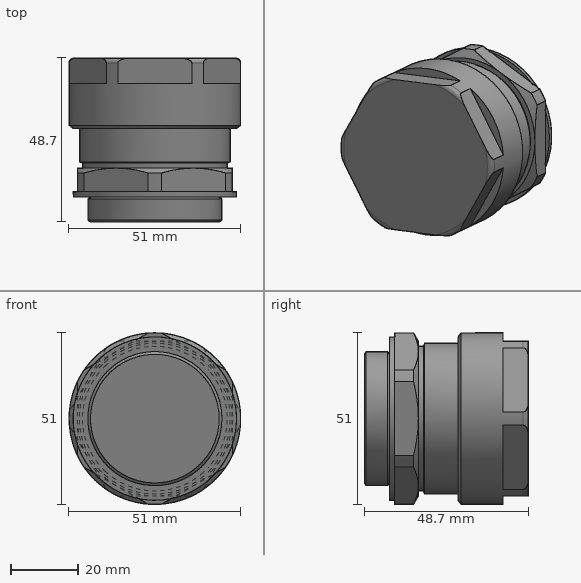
import cadquery as cq
import math

overall_diameter = 51.0
overall_length = 48.7
outer_radius = overall_diameter / 2
across_flats = 46.0

spigot_radius = 39.85 / 2
washer_radius = 48.5 / 2
groove_radius = 43.0 / 2
body_radius = 44.85 / 2

washer_start = 7.45
nut_start = 9.05
nut_end = 16.0
body_start = 17.5
cap_start = 27.8
cap_hex_length = 7.5
cap_hex_start = overall_length - cap_hex_length

spigot_chamfer_length = 0.55
spigot_chamfer_depth = 0.8
body_chamfer_length = 0.4
cap_chamfer_length = 0.95
cap_chamfer_depth = 1.2
cap_round_radius = 1.55
nut_cone_length = 1.45
nut_cone_tip_radius = across_flats / 2


def revolve_profile(profile):
    """Turn a closed (radius, axial position) profile about the Y axis."""
    return profile.close().revolve(360, (0, 0, 0), (0, 1, 0))


def hex_prism(start, end, first_corner_angle):
    """Hexagon along +Y, with its first corner at an angle from +X toward +Z."""
    corner_radius = across_flats / math.sqrt(3)
    corners = []
    for i in range(6):
        angle = math.radians(first_corner_angle + 60 * i)
        corners.append((corner_radius * math.cos(angle), corner_radius * math.sin(angle)))
    return (
        cq.Workplane("XZ", origin=(0, start, 0))
        .polyline(corners)
        .close()
        .extrude(-(end - start))
    )


def make_core():
    """Spigot, washer, groove and body, running into the cap."""
    spigot_tip_radius = spigot_radius - spigot_chamfer_depth
    return revolve_profile(
        cq.Workplane("XY")
        .moveTo(0, 0)
        .lineTo(spigot_tip_radius, 0)
        .lineTo(spigot_radius, spigot_chamfer_length)
        .lineTo(spigot_radius, washer_start - spigot_chamfer_length)
        .lineTo(spigot_tip_radius, washer_start)
        .lineTo(washer_radius, washer_start)
        .lineTo(washer_radius, nut_start)
        .lineTo(groove_radius, nut_start)
        .lineTo(groove_radius, body_start)
        .lineTo(body_radius, body_start + body_chamfer_length)
        .lineTo(body_radius, cap_hex_start)
        .lineTo(0, cap_hex_start)
    )


def make_nut():
    """Hexagon nut with corners toward +Z and -Z, coned on the body side."""
    envelope = revolve_profile(
        cq.Workplane("XY")
        .moveTo(0, nut_start)
        .lineTo(outer_radius, nut_start)
        .lineTo(outer_radius, nut_end - nut_cone_length)
        .lineTo(nut_cone_tip_radius, nut_end)
        .lineTo(0, nut_end)
    )
    return hex_prism(nut_start, nut_end, 90).intersect(envelope)


def make_cap():
    """Round cap with a hexagonal grip, rounded at its free end."""
    collar = revolve_profile(
        cq.Workplane("XY")
        .moveTo(0, cap_start)
        .lineTo(outer_radius - cap_chamfer_depth, cap_start)
        .lineTo(outer_radius, cap_start + cap_chamfer_length)
        .lineTo(outer_radius, cap_hex_start)
        .lineTo(0, cap_hex_start)
    )
    grip_envelope = revolve_profile(
        cq.Workplane("XY")
        .moveTo(0, cap_hex_start)
        .lineTo(outer_radius, cap_hex_start)
        .lineTo(outer_radius, overall_length - cap_round_radius)
        .radiusArc((outer_radius - cap_round_radius, overall_length), -cap_round_radius)
        .lineTo(0, overall_length)
    )
    grip = hex_prism(cap_hex_start, overall_length, 0).intersect(grip_envelope)
    return collar.union(grip)


result = (
    make_core()
    .union(make_nut())
    .union(make_cap())
    .translate((0, -overall_length / 2, 0))
)